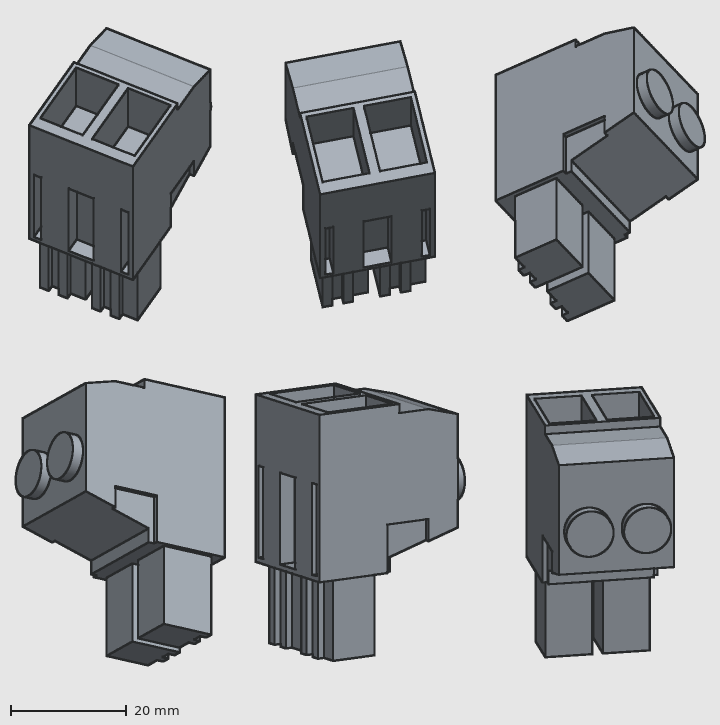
import cadquery as cq


TOTAL_HEIGHT = 44.1
TOTAL_DEPTH = 30.6
WIDTH = 20.35
POLES = 2
PITCH = WIDTH / POLES
WALL = 0.93
CELL_WIDTH = PITCH - 2 * WALL
POLE_CENTRES = [(i - (POLES - 1) / 2) * PITCH for i in range(POLES)]

FOOT_LENGTH = 14.45
HOUSING_BOTTOM = FOOT_LENGTH
BASE_DEPTH = 15.1
HEAD_DEPTH = 16.5
SHELF_DEPTH = 22.5
TOP_STEP = 1.6
UNDERSIDE_FRONT = 17.02
UNDERSIDE_BACK = 20.85

SCREW_HEIGHT = 2.07
SCREW_CENTRE_Z = 28.65
BACK_FACE = TOTAL_DEPTH - SCREW_HEIGHT

POCKET_FRONT = 2.35
POCKET_BACK = HEAD_DEPTH - WALL
POCKET_DEPTH = 10.0

SLOT_BOTTOM = HOUSING_BOTTOM + WALL
SLOT_HEIGHT = 16.25
SLOT_DEPTH = 3.0
CENTRE_SLOT_WIDTH = 4.9
SIDE_SLOT_WIDTH = 1.4

NOTCH_FRONT = 14.0
NOTCH_TOP = 23.05
NOTCH_DEPTH = 0.9

FOOT_FRONT = 2.2
FOOT_DEPTH = 9.75
RIB_WIDTH = 1.7
RIB_HEIGHT = 1.25
RIB_SPACING = 3.65
RIBS_PER_FOOT = 2


def box(x_min, y_min, z_min, x_size, y_size, z_size):
    """Box placed by its lowest corner."""
    block = cq.Workplane("XY").box(x_size, y_size, z_size, centered=False)
    return block.translate((x_min, y_min, z_min))


def housing_block():
    shelf_z = TOTAL_HEIGHT - TOP_STEP
    profile = [
        (0, HOUSING_BOTTOM),
        (BASE_DEPTH, HOUSING_BOTTOM),
        (BASE_DEPTH, UNDERSIDE_FRONT),
        (BACK_FACE, UNDERSIDE_BACK),
        (BACK_FACE, shelf_z - TOP_STEP),
        (SHELF_DEPTH, shelf_z),
        (HEAD_DEPTH, shelf_z),
        (HEAD_DEPTH, TOTAL_HEIGHT),
        (0, TOTAL_HEIGHT),
    ]
    return cq.Workplane("YZ").polyline(profile).close().extrude(WIDTH / 2, both=True)


def wire_pocket(pole_x):
    return box(pole_x - CELL_WIDTH / 2, POCKET_FRONT, TOTAL_HEIGHT - POCKET_DEPTH,
               CELL_WIDTH, POCKET_BACK - POCKET_FRONT, POCKET_DEPTH)


def front_slot(centre_x, width):
    return box(centre_x - width / 2, 0, SLOT_BOTTOM, width, SLOT_DEPTH, SLOT_HEIGHT)


def side_notch(side):
    """Shallow notch in the side face at side * WIDTH / 2, open at the underside."""
    centre_x = side * (WIDTH - NOTCH_DEPTH) / 2
    return box(centre_x - NOTCH_DEPTH / 2, NOTCH_FRONT, HOUSING_BOTTOM,
               NOTCH_DEPTH, SHELF_DEPTH - NOTCH_FRONT, NOTCH_TOP - HOUSING_BOTTOM)


def plug_foot(pole_x):
    left = pole_x - CELL_WIDTH / 2
    foot = box(left, FOOT_FRONT + RIB_HEIGHT, 0,
               CELL_WIDTH, FOOT_DEPTH - RIB_HEIGHT, FOOT_LENGTH)
    for i in range(RIBS_PER_FOOT):
        foot = foot.union(box(left + i * RIB_SPACING, FOOT_FRONT, 0,
                              RIB_WIDTH, RIB_HEIGHT, FOOT_LENGTH))
    return foot


def make_housing():
    housing = housing_block()
    housing = housing.cut(front_slot(0, CENTRE_SLOT_WIDTH))
    side_slot_x = WIDTH / 2 - WALL - SIDE_SLOT_WIDTH / 2
    for side in (-1, 1):
        housing = housing.cut(front_slot(side * side_slot_x, SIDE_SLOT_WIDTH))
        housing = housing.cut(side_notch(side))
    for pole_x in POLE_CENTRES:
        housing = housing.cut(wire_pocket(pole_x))
        housing = housing.union(plug_foot(pole_x))
    return housing.solids()


def make_screw(pole_x):
    """Screw head resting on the back face of the housing."""
    head = cq.Workplane("XZ").circle(CELL_WIDTH / 2).extrude(-SCREW_HEIGHT)
    return head.translate((pole_x, BACK_FACE, SCREW_CENTRE_Z))


housing = make_housing()
screws = [make_screw(pole_x) for pole_x in POLE_CENTRES]

result = cq.Compound.makeCompound([housing.val(), *[screw.val() for screw in screws]])